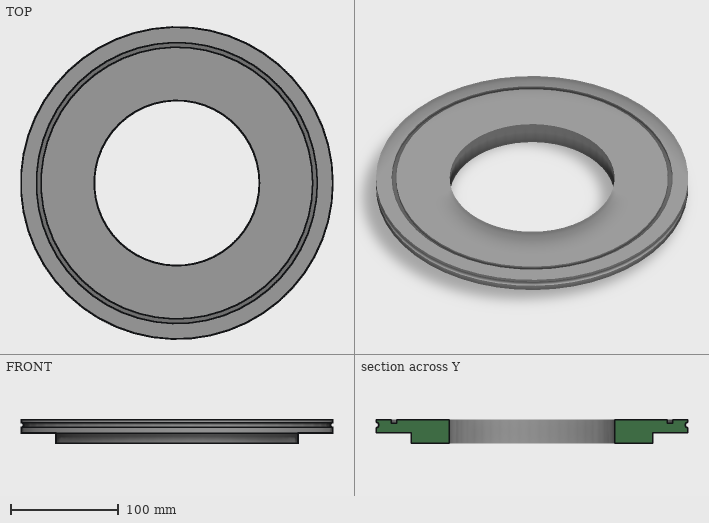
import cadquery as cq

flange_diameter = 290.0
hub_diameter = 225.0
bore_diameter = 153.0
total_height = 22.0
flange_thickness = 12.5
hub_height = total_height - flange_thickness

rim_groove_radius = 2.3
rim_groove_depth_below_top = 5.0

ring_groove_outer_diameter = 261.0
ring_groove_inner_diameter = 252.3
ring_groove_depth = 3.2


def make_body():
    """Stepped disc with its bottom face at Z = 0 and a through bore."""
    hub = cq.Workplane("XY").circle(hub_diameter / 2).extrude(hub_height)
    flange = (
        cq.Workplane("XY", origin=(0, 0, hub_height))
        .circle(flange_diameter / 2)
        .extrude(flange_thickness)
    )
    bore = cq.Workplane("XY").circle(bore_diameter / 2).extrude(total_height)
    return hub.union(flange).cut(bore)


def make_rim_groove():
    """Torus centred on the rim surface, leaving a half-round groove."""
    groove_height = total_height - rim_groove_depth_below_top
    torus = cq.Solid.makeTorus(flange_diameter / 2, rim_groove_radius, cq.Vector(0, 0, groove_height))
    return cq.Workplane(obj=torus)


def make_ring_groove():
    """Flat-bottomed ring cut down from the top face."""
    return (
        cq.Workplane("XY", origin=(0, 0, total_height))
        .circle(ring_groove_outer_diameter / 2)
        .circle(ring_groove_inner_diameter / 2)
        .extrude(-ring_groove_depth)
    )


result = make_body().cut(make_rim_groove()).cut(make_ring_groove())